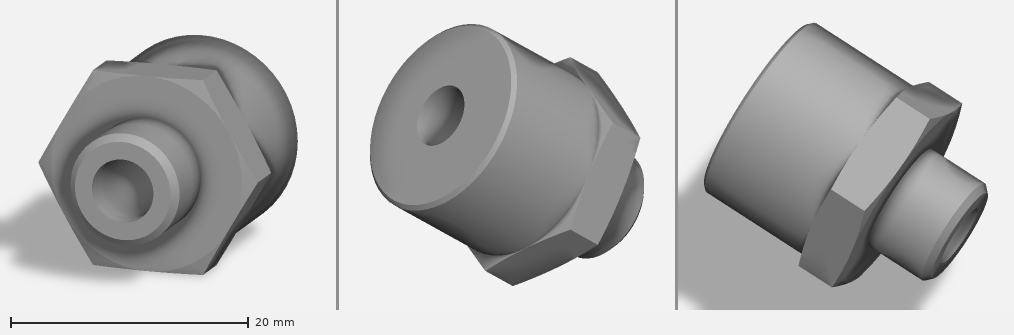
import cadquery as cq
import math

total_length = 20.5
across_flats = 17.0
across_corners = across_flats / math.cos(math.radians(30))

spigot_diameter = 9.74
spigot_length = 6.0
spigot_chamfer = 0.6

hex_width = 4.1
corner_chamfer_angle = 15.0

body_diameter = across_flats
body_chamfer = 0.35

bore_diameter = 5.5

hex_start = spigot_length
hex_end = hex_start + hex_width
body_length = total_length - hex_end


def cylinder_along_y(diameter, start, length):
    """Solid cylinder on the Y axis, running towards +Y from start."""
    plane = cq.Workplane("XZ", origin=(0, start, 0))
    return plane.circle(diameter / 2).extrude(-length)


def make_hexagon():
    """Hexagon with corners on +X and -X, bevelled by a cone at both faces."""
    prism = (
        cq.Workplane("XZ", origin=(0, hex_start, 0))
        .polygon(6, across_corners)
        .extrude(-hex_width)
    )
    face_radius = across_flats / 2
    corner_radius = across_corners / 2
    bevel = (corner_radius - face_radius) * math.tan(math.radians(corner_chamfer_angle))
    envelope = (
        cq.Workplane("XY")
        .moveTo(0, hex_start)
        .lineTo(face_radius, hex_start)
        .lineTo(corner_radius, hex_start + bevel)
        .lineTo(corner_radius, hex_end - bevel)
        .lineTo(face_radius, hex_end)
        .lineTo(0, hex_end)
        .close()
        .revolve(360, (0, 0, 0), (0, 1, 0))
    )
    return prism.intersect(envelope)


spigot = cylinder_along_y(spigot_diameter, 0, spigot_length)
spigot = spigot.faces("<Y").chamfer(spigot_chamfer)

body = cylinder_along_y(body_diameter, hex_end, body_length)
body = body.faces(">Y").chamfer(body_chamfer)

bore = cylinder_along_y(bore_diameter, 0, total_length)

result = make_hexagon().union(spigot).union(body).cut(bore)